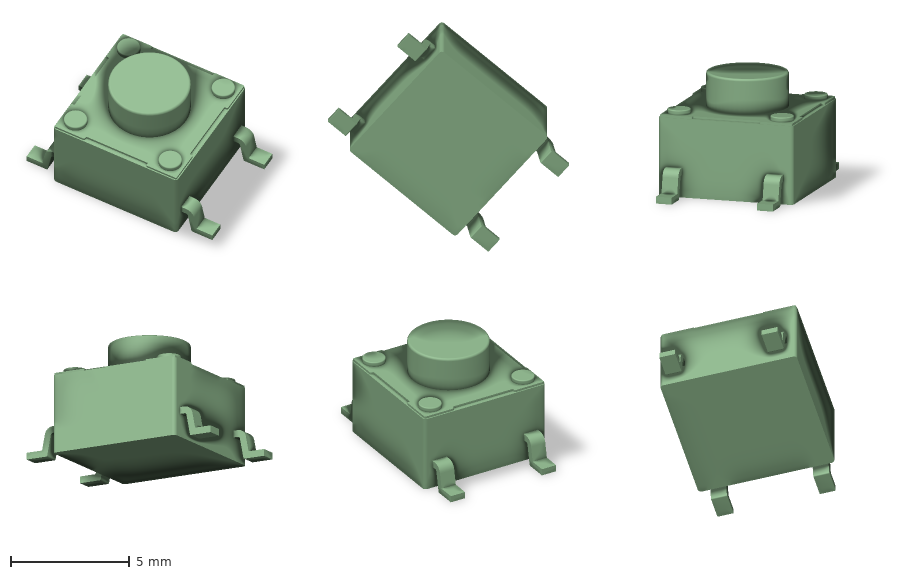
import cadquery as cq
import math

body_side = 6.0
body_height = 3.4
body_corner_radius = 0.15

cover_inset = 0.05
cover_thickness = 0.1
cover_corner_radius = 0.05
relief_length = 3.0
relief_depth = 0.15

button_diameter = 3.5
button_top = 5.0
button_edge_radius = 0.1

rivet_diameter = 1.0
rivet_height = 0.2
rivet_edge_radius = 0.05
rivet_offset = 2.295

terminal_span = 9.0
terminal_width = 0.7
terminal_offset = 2.25
terminal_thickness = 0.3
terminal_top = 1.3
terminal_lean = math.radians(11)
bend_x = 3.22
bend_inner_radius = 0.1
heel_radius = 0.05

cover_side = body_side - 2 * cover_inset
cover_top = body_height + cover_thickness


def make_body():
    block = cq.Workplane("XY").rect(body_side, body_side).extrude(body_height)
    return block.edges("|Z").fillet(body_corner_radius)


def make_cover():
    plate = (
        cq.Workplane("XY", origin=(0, 0, body_height))
        .rect(cover_side, cover_side)
        .extrude(cover_thickness)
    )
    relief = (
        cq.Workplane("XY", origin=(cover_side / 2, 0, body_height))
        .rect(2 * relief_depth, relief_length)
        .extrude(cover_thickness)
    )
    for angle in (0, 90, 180, 270):
        plate = plate.cut(relief.rotate((0, 0, 0), (0, 0, 1), angle))
    return plate.edges("|Z").fillet(cover_corner_radius)


def make_button():
    return (
        cq.Workplane("XY", origin=(0, 0, body_height))
        .circle(button_diameter / 2)
        .extrude(button_top - body_height)
        .faces(">Z")
        .edges()
        .fillet(button_edge_radius)
    )


def make_rivets():
    return (
        cq.Workplane("XY", origin=(0, 0, cover_top))
        .rect(2 * rivet_offset, 2 * rivet_offset, forConstruction=True)
        .vertices()
        .circle(rivet_diameter / 2)
        .extrude(rivet_height)
        .faces(">Z")
        .edges()
        .fillet(rivet_edge_radius)
    )


def make_terminal():
    """Right-hand terminal, centred on the XZ plane."""
    root_x = body_side / 2 - terminal_thickness
    tip_x = terminal_span / 2
    bend_outer_radius = bend_inner_radius + terminal_thickness
    bend_z = terminal_top - bend_outer_radius

    def on_bend(radius, angle):
        return (bend_x + radius * math.cos(angle), bend_z + radius * math.sin(angle))

    def leg_x(radius, z):
        """X of the leaning leg face that is tangent to the bend."""
        start_x, start_z = on_bend(radius, terminal_lean)
        return start_x + (start_z - z) * math.tan(terminal_lean)

    middle = (terminal_lean + math.pi / 2) / 2
    profile = (
        cq.Workplane("XZ")
        .moveTo(root_x, terminal_top)
        .lineTo(bend_x, terminal_top)
        .threePointArc(on_bend(bend_outer_radius, middle), on_bend(bend_outer_radius, terminal_lean))
        .lineTo(leg_x(bend_outer_radius, terminal_thickness), terminal_thickness)
        .lineTo(tip_x, terminal_thickness)
        .lineTo(tip_x, 0)
        .lineTo(leg_x(bend_inner_radius, 0), 0)
        .lineTo(*on_bend(bend_inner_radius, terminal_lean))
        .threePointArc(on_bend(bend_inner_radius, middle), (bend_x, bend_z + bend_inner_radius))
        .lineTo(root_x, bend_z + bend_inner_radius)
        .close()
    )
    strip = profile.extrude(terminal_width / 2, both=True)
    heel = cq.selectors.NearestToPointSelector((leg_x(bend_inner_radius, 0), 0, 0))
    return strip.edges("|Y").edges(heel).fillet(heel_radius)


result = make_body().union(make_cover()).union(make_button()).union(make_rivets())

right_terminal = make_terminal()
for terminal in (right_terminal, right_terminal.mirror("YZ")):
    for y in (-terminal_offset, terminal_offset):
        result = result.union(terminal.translate((0, y, 0)))